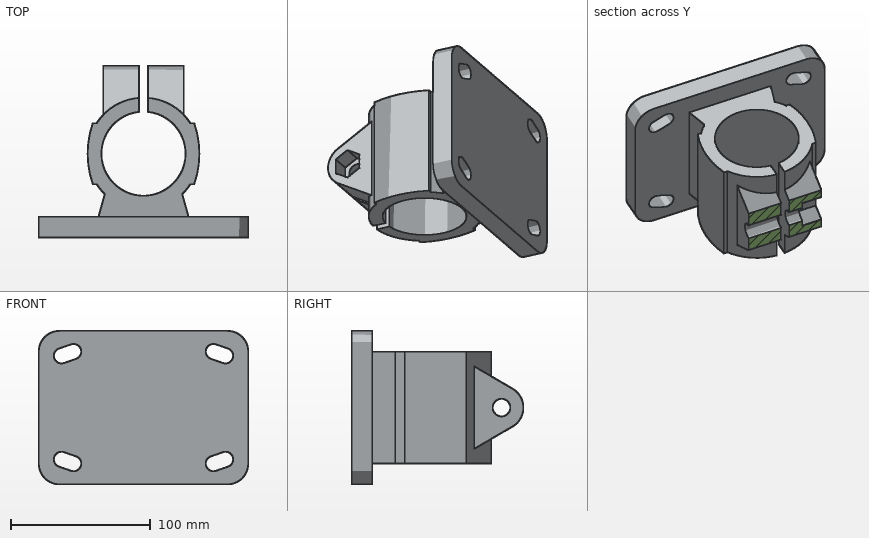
import cadquery as cq
import math

plate_width = 150.0
plate_height = 110.0
plate_thickness = 15.0
corner_radius = 15.0

slot_width = 10.8
slot_center_distance = 9.2
slot_x = 54.3
slot_z = 38.5
slot_angle = 19.0

bore_radius = 30.0
ring_radius = 40.0
ring_height = 80.0
ring_y = 60.0

pad_half_length = 21.9
pad_edge_x = 36.3

neck_base_half_width = 32.2
neck_top_half_width = 27.8
neck_top_y = ring_y - math.sqrt(ring_radius**2 - neck_top_half_width**2)

overall_depth = 123.0
lug_half_width = 28.8
lug_radius = 15.8
lug_taper = math.radians(30)
gap_width = 6.2
bolt_y = overall_depth - lug_radius
bolt_diameter = 12.5
nut_across_flats = 18.9
nut_depth = 15.0


def make_plate():
    plate = (
        cq.Workplane("XY")
        .box(plate_width, plate_thickness, plate_height)
        .translate((0, plate_thickness / 2, 0))
        .edges("|Y")
        .fillet(corner_radius)
    )
    for side_x in (-1, 1):
        for side_z in (-1, 1):
            slot = (
                cq.Workplane("XZ")
                .slot2D(slot_center_distance + slot_width, slot_width, -side_x * side_z * slot_angle)
                .extrude(-plate_thickness)
                .translate((side_x * slot_x, 0, side_z * slot_z))
            )
            plate = plate.cut(slot)
    return plate


def ring_plane():
    return cq.Workplane("XY").workplane(offset=-ring_height / 2)


def make_ring_body():
    ring = ring_plane().center(0, ring_y).circle(ring_radius).extrude(ring_height)
    pads = (
        ring_plane()
        .center(0, ring_y)
        .moveTo(-pad_edge_x, -pad_half_length)
        .lineTo(pad_edge_x, -pad_half_length)
        .threePointArc((ring_radius, 0), (pad_edge_x, pad_half_length))
        .lineTo(-pad_edge_x, pad_half_length)
        .threePointArc((-ring_radius, 0), (-pad_edge_x, -pad_half_length))
        .close()
        .extrude(ring_height)
    )
    neck = (
        ring_plane()
        .polyline([
            (-neck_base_half_width, plate_thickness),
            (neck_base_half_width, plate_thickness),
            (neck_top_half_width, neck_top_y),
            (-neck_top_half_width, neck_top_y),
        ])
        .close()
        .extrude(ring_height)
    )
    return ring.union(pads).union(neck)


def make_lugs():
    """Rounded, tapered lug block, running from the bolt end into the ring."""
    tangent_y = bolt_y + lug_radius * math.sin(lug_taper)
    tangent_z = lug_radius * math.cos(lug_taper)
    root_y = ring_y + math.sqrt(ring_radius**2 - lug_half_width**2)
    root_z = tangent_z + (tangent_y - root_y) * math.tan(lug_taper)
    return (
        cq.Workplane("YZ")
        .workplane(offset=-lug_half_width)
        .moveTo(ring_y, -root_z)
        .lineTo(root_y, -root_z)
        .lineTo(tangent_y, -tangent_z)
        .threePointArc((overall_depth, 0), (tangent_y, tangent_z))
        .lineTo(root_y, root_z)
        .lineTo(ring_y, root_z)
        .close()
        .extrude(2 * lug_half_width)
    )


def make_bore_and_gap():
    bore = ring_plane().center(0, ring_y).circle(bore_radius).extrude(ring_height)
    gap_length = overall_depth - ring_y
    gap = cq.Workplane("XY").box(gap_width, gap_length, ring_height)
    return bore.union(gap.translate((0, ring_y + gap_length / 2, 0)))


def make_bolt_hole():
    """Bolt hole through both lugs, with a hexagonal nut pocket on the -X lug."""
    lug_face = cq.Workplane("YZ").workplane(offset=-lug_half_width).center(bolt_y, 0)
    hole = lug_face.circle(bolt_diameter / 2).extrude(2 * lug_half_width)
    nut_across_corners = nut_across_flats / math.cos(math.pi / 6)
    nut = (
        lug_face
        .transformed(rotate=(0, 0, 90))
        .polygon(6, nut_across_corners)
        .extrude(nut_depth)
    )
    return hole.union(nut)


body = make_plate().union(make_ring_body()).union(make_lugs())
result = body.cut(make_bore_and_gap()).cut(make_bolt_hole())